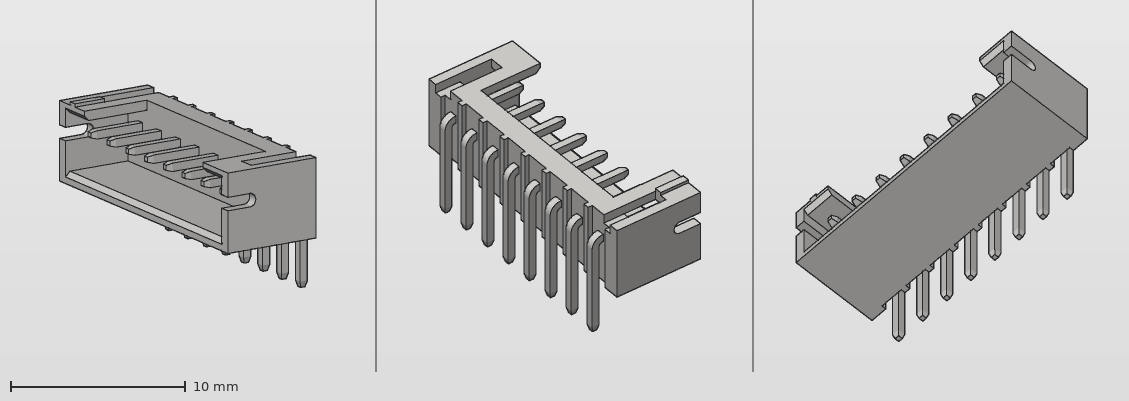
import cadquery as cq


pin_count = 8
pitch = 2.0
pin_size = 0.5
pin_tip_size = 0.3
pin_tip_length = 0.375
pin_top = 3.35
pin_front = 0.8
pin_bottom = -3.4
bend_radius = 0.75

length = 17.9
depth = 6.0
height = 4.8
side_wall = 0.65
floor_thickness = 0.7
roof_thickness = 0.6
cavity_depth = 4.25
lead_in = 0.3

roof_opening_length = 12.6
slot_width = 1.0
slot_front = 2.0

notch_height = 0.8
notch_depth = 1.9
notch_center = 2.95

relief_depth = 0.3
relief_length = 15.6
rib_width = 0.4

mark_width = 0.5
mark_height = 0.2

cavity_length = length - 2 * side_wall
cavity_top = height - roof_thickness
pin_back = depth + pin_size
pin_axis = pin_top - pin_size / 2
leg_axis = pin_back - pin_size / 2
slot_left = -cavity_length / 2


def block(x_min, x_max, y_min, y_max, z_min, z_max):
    """Box given by its limits along each axis."""
    size = (x_max - x_min, y_max - y_min, z_max - z_min)
    return cq.Workplane("XY").box(*size, centered=False).translate((x_min, y_min, z_min))


def side_profile(x_min):
    """Workplane at x_min whose local axes are Y and Z, extruding toward +X."""
    return cq.Workplane("YZ", origin=(x_min, 0, 0))


def row_places(count):
    """X places of evenly pitched items centred on the housing."""
    return [(i - (count - 1) / 2) * pitch for i in range(count)]


def cavity():
    """Mating cavity, with lead-in slopes on the floor and the roof."""
    return (
        side_profile(-cavity_length / 2)
        .moveTo(0, floor_thickness - lead_in)
        .lineTo(lead_in, floor_thickness)
        .lineTo(cavity_depth, floor_thickness)
        .lineTo(cavity_depth, cavity_top)
        .lineTo(lead_in, cavity_top)
        .lineTo(0, cavity_top + lead_in)
        .close()
        .extrude(cavity_length)
    )


def side_notch():
    """Round-ended notch through both side walls, open at the mating face."""
    radius = notch_height / 2
    return (
        side_profile(-length / 2)
        .moveTo(0, notch_center - radius)
        .lineTo(notch_depth - radius, notch_center - radius)
        .threePointArc((notch_depth, notch_center), (notch_depth - radius, notch_center + radius))
        .lineTo(0, notch_center + radius)
        .close()
        .extrude(length)
    )


def housing():
    half_opening = roof_opening_length / 2
    half_relief = relief_length / 2
    relief_start = depth - relief_depth
    body = block(-length / 2, length / 2, 0, depth, 0, height)
    body = body.cut(cavity())
    body = body.cut(block(-half_opening, half_opening, 0, cavity_depth, cavity_top, height))
    body = body.cut(side_notch())

    slot = block(slot_left, slot_left + slot_width, slot_front, depth, cavity_top, height)
    body = body.cut(slot).cut(slot.mirror("YZ"))

    body = body.cut(block(-half_relief, half_relief, relief_start, depth, 0, height))
    for x in row_places(pin_count - 1):
        body = body.union(block(x - rib_width / 2, x + rib_width / 2, relief_start, depth, 0, height))

    mark_right = slot_left + slot_width
    mark = block(mark_right - mark_width, mark_right, 0, slot_front, height, height + mark_height)
    return body.union(mark)


def pin_tip(plane):
    """Square taper that narrows along the plane's normal."""
    return (
        cq.Workplane(plane)
        .rect(pin_size, pin_size)
        .workplane(offset=pin_tip_length)
        .rect(pin_tip_size, pin_tip_size)
        .loft(ruled=True)
    )


def pin():
    """Bent square pin centred on X = 0, tapered at both ends."""
    bar_front = pin_front + pin_tip_length
    leg_bottom = pin_bottom + pin_tip_length
    bar = (
        side_profile(-pin_size / 2)
        .moveTo(bar_front, pin_top - pin_size)
        .lineTo(bar_front, pin_top)
        .lineTo(pin_back - bend_radius, pin_top)
        .radiusArc((pin_back, pin_top - bend_radius), bend_radius)
        .lineTo(pin_back, leg_bottom)
        .lineTo(depth, leg_bottom)
        .lineTo(depth, pin_top - bend_radius)
        .radiusArc((pin_back - bend_radius, pin_top - pin_size), -(bend_radius - pin_size))
        .close()
        .extrude(pin_size)
    )
    mating_tip = pin_tip(cq.Plane((0, bar_front, pin_axis), (1, 0, 0), (0, -1, 0)))
    leg_tip = pin_tip(cq.Plane((0, leg_axis, leg_bottom), (1, 0, 0), (0, 0, -1)))
    return bar.union(mating_tip).union(leg_tip)


result = housing()
for pin_x in row_places(pin_count):
    result = result.union(pin().translate((pin_x, 0, 0)))